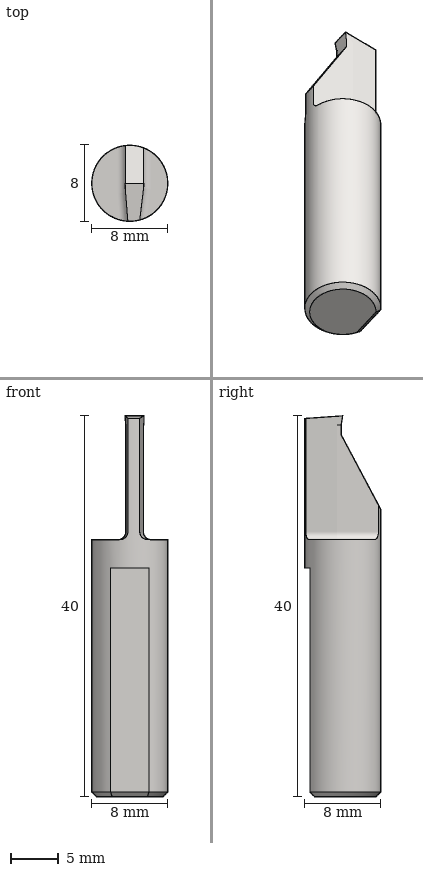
import cadquery as cq

total_height = 40.0
shank_radius = 4.0
shoulder_z = 27.0
end_chamfer = 0.5

flat_width = 4.0
flat_top_z = 24.0
flat_y = -(shank_radius**2 - (flat_width / 2) ** 2) ** 0.5

neck_left = -0.45
neck_right = 1.45
left_taper_y = -1.0
right_taper_y = -0.55
left_taper = 0.08
right_taper = 0.12
root_radius = 0.8

tip_y = 0.0
top_drop = 0.3
neck_y = -0.15
tip_base_z = 39.0
neck_base_z = 38.0
ramp_base_z = 30.15

stock = shank_radius + 0.8

pick_margin = 0.05


def left_side(y):
    """X of the tapered left side, extended to any Y."""
    return neck_left - left_taper * (y - left_taper_y)


def right_side(y):
    """X of the tapered right side, extended to any Y."""
    return neck_right + right_taper * (y - right_taper_y)


def rooted_neck():
    """Shank stock and parallel neck joined by concave root fillets."""
    base = cq.Workplane("XY").box(2 * stock, 2 * stock, shoulder_z, centered=(True, True, False))
    plan = [
        (left_side(-stock), -stock),
        (right_side(-stock), -stock),
        (neck_right, right_taper_y),
        (neck_right, stock),
        (neck_left, stock),
        (neck_left, left_taper_y),
    ]
    neck = cq.Workplane("XY").polyline(plan).close().extrude(total_height)
    root_edges = cq.selectors.BoxSelector(
        (left_side(tip_y), -shank_radius, shoulder_z - pick_margin),
        (right_side(tip_y), shank_radius, shoulder_z + pick_margin),
    )
    return base.union(neck).edges(root_edges).fillet(root_radius)


def cutting_tip():
    """Tapered head that widens to its cutting edge, with a sloping left underside."""
    plan = [
        (left_side(-stock), -stock),
        (right_side(-stock), -stock),
        (right_side(tip_y), tip_y),
        (left_side(tip_y), tip_y),
    ]
    head = cq.Workplane("XY").polyline(plan).close().extrude(total_height)
    section = [
        (neck_left, tip_base_z),
        (right_side(tip_y), tip_base_z),
        (right_side(tip_y), total_height),
        (left_side(tip_y), total_height),
    ]
    limits = cq.Workplane("XZ").polyline(section).close().extrude(stock, both=True)
    return head.intersect(limits)


def round_envelope():
    """Round shank with the clamping flat and a chamfered lower end."""
    body = cq.Workplane("XY").circle(shank_radius).extrude(total_height)
    flat = (
        cq.Workplane("XY")
        .box(2 * stock, stock, flat_top_z, centered=(True, False, False))
        .translate((0, flat_y - stock, 0))
    )
    return body.cut(flat).faces("<Z").edges().chamfer(end_chamfer)


def side_profile():
    """Outline in Y and Z: sloping top, relieved tip and ramped back."""
    outline = [
        (-shank_radius, 0),
        (shank_radius, 0),
        (shank_radius, ramp_base_z),
        (neck_y, neck_base_z),
        (neck_y, tip_base_z),
        (tip_y, total_height),
        (-shank_radius, total_height - top_drop),
    ]
    return cq.Workplane("YZ").polyline(outline).close().extrude(stock, both=True)


result = rooted_neck().union(cutting_tip()).intersect(round_envelope()).intersect(side_profile())